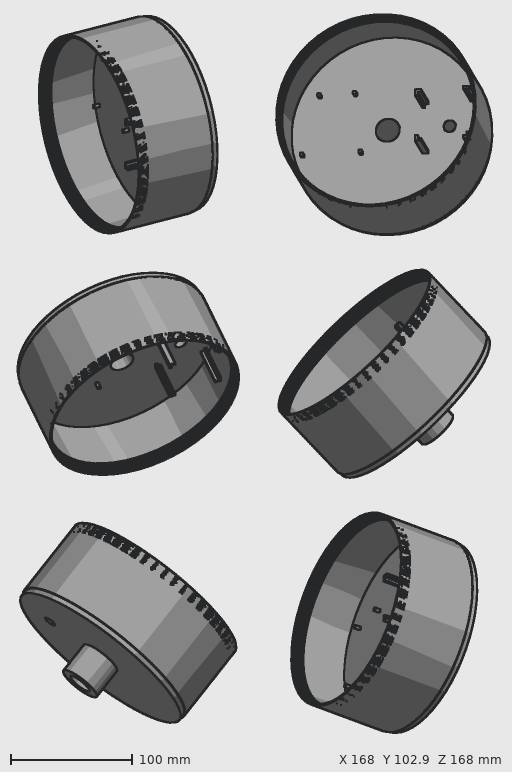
import cadquery as cq

outer_radius = 84.0
wall_length = 70.0
lip_radius = 83.0
lip_length = 5.0
spigot_diameter = 35.0
spigot_length = 27.9
back_face = wall_length + lip_length

bore_radius = 81.0
cavity_depth = 50.0
crest_radius = 82.0
groove_radius = 83.0
threaded_depth = 10.0
groove_count = 5
groove_pitch = threaded_depth / groove_count

centre_hole_diameter = 20.0
side_hole_diameter = 10.0
side_hole_x = 52.0

bracket_span_x = 45.5
bracket_span_z = 45.0
bracket_arm = 5.0
bracket_thickness = 2.0
bracket_height = 32.5

pin_diameter = 3.0
pin_height = 5.0
pin_centres = [(-57.0, 33.1), (-27.0, 33.1), (-71.5, -17.6), (-22.3, -18.5)]

root_overlap = 0.8


def cylinder(radius, start_y, length, x=0.0, z=0.0):
    """Cylinder along +Y, starting at start_y."""
    axis = cq.Vector(0, 1, 0)
    return cq.Workplane(obj=cq.Solid.makeCylinder(radius, length, cq.Vector(x, start_y, z), axis))


def make_cavity():
    """Plain bore and square-grooved mouth as one revolved cutter."""
    points = [(0, 0)]
    for index in range(groove_count):
        groove_start = index * groove_pitch
        land_start = groove_start + groove_pitch / 2
        points.append((groove_radius, groove_start))
        points.append((groove_radius, land_start))
        points.append((crest_radius, land_start))
        points.append((crest_radius, groove_start + groove_pitch))
    points += [(bore_radius, threaded_depth), (bore_radius, cavity_depth), (0, cavity_depth)]
    return cq.Workplane("XY").polyline(points).close().revolve(360, (0, 0, 0), (0, 1, 0))


def make_bracket(side_x, side_z):
    """L-shaped post whose outer corner points away from the side hole."""
    corner_x = side_hole_x + side_x * bracket_span_x / 2
    corner_z = side_z * bracket_span_z / 2
    length = bracket_height + root_overlap
    middle_y = cavity_depth - bracket_height + length / 2

    def arm(size_x, size_z):
        centre = (corner_x - side_x * size_x / 2, middle_y, corner_z - side_z * size_z / 2)
        return cq.Workplane("XY").box(size_x, length, size_z).translate(centre)

    return arm(bracket_arm, bracket_thickness).union(arm(bracket_thickness, bracket_arm))


result = cylinder(outer_radius, 0, wall_length)
result = result.union(cylinder(lip_radius, 0, back_face))
result = result.union(cylinder(spigot_diameter / 2, 0, back_face + spigot_length))
result = result.cut(make_cavity())

result = result.cut(cylinder(centre_hole_diameter / 2, 0, back_face + spigot_length))
result = result.cut(cylinder(side_hole_diameter / 2, 0, back_face, side_hole_x))

for side_x in (-1, 1):
    for side_z in (-1, 1):
        result = result.union(make_bracket(side_x, side_z))

for pin_x, pin_z in pin_centres:
    pin_start = cavity_depth - pin_height
    pin = cylinder(pin_diameter / 2, pin_start, pin_height + root_overlap, pin_x, pin_z)
    result = result.union(pin)